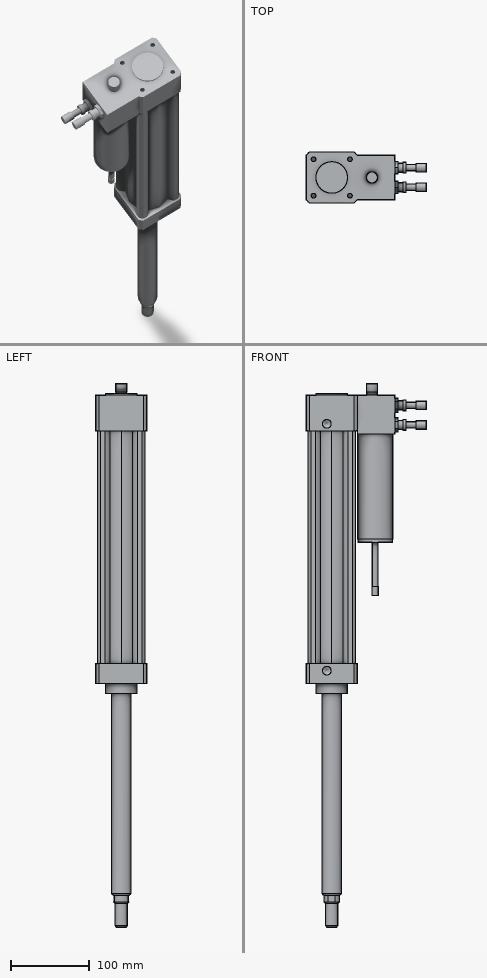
import cadquery as cq
import math


total_height = 691.0
rod_thread_top = 30.5
rod_shoulder = 43.0
boss_bottom = 297.0
cap_bottom = 309.5
tube_bottom = 335.0
head_bottom = 631.0
block_bottom = 627.0
head_top = 676.5

end_width = 65.0
corner_chamfer = 4.0
port_diameter = 11.0
port_depth = 3.5
port_x = -6.0
port_offset = 9.0
boss_diameter = 40.0

tube_width = 61.0
groove_mouth_half_width = 21.0
groove_depth = 6.0
ridge_angle = 15.0

rod_diameter = 25.0
neck_diameter = 20.0
neck_flats = 18.0
thread_diameter = 16.0
thread_chamfer = 2.0

pilot_height = 2.0
bolt_spacing = 46.0
bolt_diameter = 6.0
bolt_depth = 7.0

block_right = 80.0
block_width = end_width - 2 * corner_chamfer
knob_x = 51.0
knob_diameter = 14.5
knob_base_diameter = 14.0
knob_base_height = 4.0
motor_x = 55.0
motor_diameter = 45.0
motor_bottom = 489.0
motor_lip_diameter = 44.0
motor_lip_height = 4.0
cable_diameter = 7.5
cable_tip_diameter = 8.0
cable_tip_length = 12.0
cable_bottom = 421.5

connector_spacing = 25.0
connector_z = 651.0
nut_flats = 16.0
nut_length = 4.0
connector_steps = [
    (12.0, 6.0),
    (14.0, 4.0),
    (8.0, 12.5),
    (11.0, 13.0),
]


def cylinder(diameter, bottom, top, x=0.0):
    """Upright cylinder between two heights."""
    return cq.Workplane("XY", origin=(x, 0, bottom)).circle(diameter / 2).extrude(top - bottom)


def end_piece(bottom, top):
    """Square end piece with chamfered vertical corners."""
    plate = cq.Workplane("XY", origin=(0, 0, bottom)).rect(end_width, end_width).extrude(top - bottom)
    return plate.edges("|Z").chamfer(corner_chamfer)


def side_port(z):
    """Cutter for a conical port in the -Y side of an end piece."""
    mouth = cq.Vector(port_x, -end_width / 2, z)
    return cq.Solid.makeCone(port_diameter / 2, 0, port_depth, mouth, cq.Vector(0, 1, 0))


def make_tube():
    """Tube with the same ridged recess along each of its four sides."""
    half = tube_width / 2
    floor_half_width = groove_mouth_half_width - groove_depth
    floor = half - groove_depth
    ridge = floor + floor_half_width * math.tan(math.radians(ridge_angle))
    side = [
        (half, -(half - corner_chamfer)),
        (half, -groove_mouth_half_width),
        (floor, -floor_half_width),
        (ridge, 0),
        (floor, floor_half_width),
        (half, groove_mouth_half_width),
        (half, half - corner_chamfer),
    ]
    outline = []
    for _ in range(4):
        outline += side
        side = [(-y, x) for x, y in side]
    tube_length = head_bottom - tube_bottom
    return cq.Workplane("XY", origin=(0, 0, tube_bottom)).polyline(outline).close().extrude(tube_length)


def make_front_cap():
    """Front cap with its boss, side port and rod bore."""
    cap = end_piece(cap_bottom, tube_bottom)
    cap = cap.union(cylinder(boss_diameter, boss_bottom, cap_bottom))
    cap = cap.cut(side_port(tube_bottom - port_offset))
    return cap.cut(cylinder(rod_diameter, boss_bottom, tube_bottom))


def make_rod():
    """Piston rod with a flatted neck and a threaded end."""
    shoulder_step = (rod_diameter - neck_diameter) / 2
    neck_step = (neck_diameter - thread_diameter) / 2
    neck_top = rod_shoulder - shoulder_step
    neck_bottom = rod_thread_top + neck_step
    half_section = [
        (0, 0),
        (thread_diameter / 2 - thread_chamfer, 0),
        (thread_diameter / 2, thread_chamfer),
        (thread_diameter / 2, rod_thread_top),
        (neck_diameter / 2, neck_bottom),
        (neck_diameter / 2, neck_top),
        (rod_diameter / 2, rod_shoulder),
        (rod_diameter / 2, tube_bottom),
        (0, tube_bottom),
    ]
    rod = cq.Workplane("XZ").polyline(half_section).close().revolve(360, (0, 0, 0), (0, 1, 0))
    for side in (-1, 1):
        flat = cq.Workplane("XY").box(
            neck_diameter, neck_diameter, neck_top - neck_bottom, centered=(True, True, False)
        )
        rod = rod.cut(flat.translate((0, side * (neck_flats + neck_diameter) / 2, neck_bottom)))
    return rod


def connector(y, z):
    """Cable connector with a hexagonal nut, pointing along +X."""
    nut_corners = nut_flats / math.cos(math.pi / 6)
    nut = cq.Workplane("YZ").polygon(6, nut_corners).extrude(nut_length)
    body = nut.rotate((0, 0, 0), (1, 0, 0), 90)
    x = nut_length
    for diameter, length in connector_steps:
        body = body.union(cq.Workplane("YZ", origin=(x, 0, 0)).circle(diameter / 2).extrude(length))
        x += length
    return body.translate((block_right, y, z))


def make_rear_head():
    """Rear head in one piece with the gear block, motor, knob and connectors."""
    head = end_piece(head_bottom, head_top)

    block_left = end_width / 2 - corner_chamfer
    upper_block = cq.Workplane("XY", origin=(block_left, 0, head_bottom)).box(
        block_right - block_left, block_width, head_top - head_bottom, centered=(False, True, False)
    )
    lower_block = cq.Workplane("XY", origin=(end_width / 2, 0, block_bottom)).box(
        block_right - end_width / 2, block_width, head_top - block_bottom, centered=(False, True, False)
    )
    head = head.union(upper_block).union(lower_block)

    head = head.union(cylinder(boss_diameter, head_top, head_top + pilot_height))
    head = head.cut(side_port(head_bottom + port_offset))
    bolts = cq.Workplane("XY", origin=(0, 0, head_top)).rect(bolt_spacing, bolt_spacing, forConstruction=True)
    head = head.cut(bolts.vertices().circle(bolt_diameter / 2).extrude(-bolt_depth))

    knob_step = head_top + knob_base_height
    head = head.union(cylinder(knob_base_diameter, head_top, knob_step, knob_x))
    head = head.union(cylinder(knob_diameter, knob_step, total_height, knob_x))

    lip_top = motor_bottom + motor_lip_height
    tip_top = cable_bottom + cable_tip_length
    head = head.union(cylinder(motor_diameter, lip_top, block_bottom, motor_x))
    head = head.union(cylinder(motor_lip_diameter, motor_bottom, lip_top, motor_x))
    head = head.union(cylinder(cable_diameter, tip_top, motor_bottom, motor_x))
    head = head.union(cylinder(cable_tip_diameter, cable_bottom, tip_top, motor_x))

    for side in (-1, 1):
        offset = side * connector_spacing / 2
        head = head.union(connector(offset, connector_z + offset))
    return head


tube = make_tube()
front_cap = make_front_cap()
rod = make_rod()
rear_head = make_rear_head()

result = cq.Compound.makeCompound([tube.val(), front_cap.val(), rod.val(), rear_head.val()])